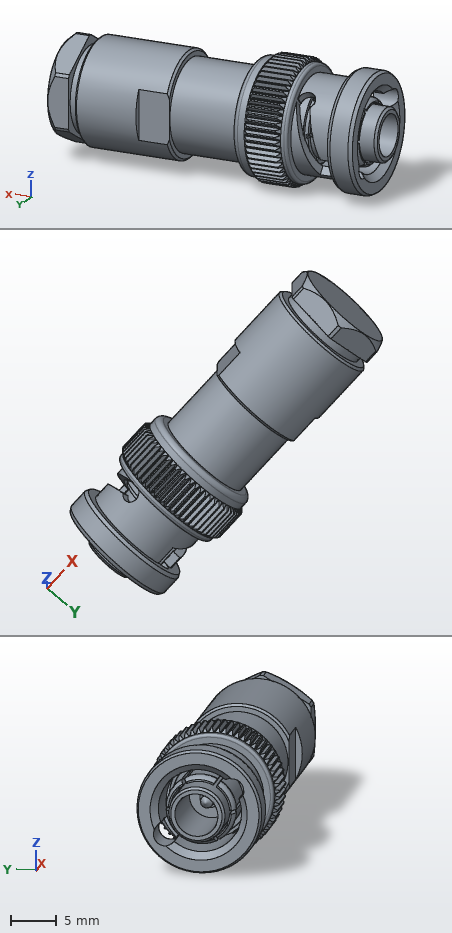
import cadquery as cq
import math

LENGTH = 38.7

FLANGE_START = 1.2
FLANGE_END = 4.22
FLANGE_RADIUS = 6.95
FLANGE_CHAMFER_LENGTH = 0.43
FLANGE_CHAMFER_DEPTH = 0.25
MOUTH_RADIUS = 5.42
BORE_RADIUS = 4.65
CAVITY_END = 8.15

SLEEVE_RADIUS = 5.7
SLEEVE_END = 9.15
ENTRY_ANGLE_LOW = 21.0
ENTRY_ANGLE_HIGH = 51.0
ENTRY_END = 5.8
LATCH_ANGLE = -46.0
LATCH_X = 8.05
LATCH_RADIUS = 1.0
RAMP_REAR_AT_ZERO_ANGLE = 7.97
RAMP_WIDTH = 1.63
RAMP_RISE_PER_DEGREE = 0.0275
RAMP_START = 4.25
PIN_CHANNEL_RADIUS = 1.28
PIN_CHANNEL_OFFSET = 4.65

RING_RADIUS = 6.77
RING_END = 15.75
RING_FRONT_ROUND = 0.35
RING_REAR_ROUND = 0.65
KNURL_START = 9.85
KNURL_END = 14.32
KNURL_RADIUS = 7.25
KNURL_ROOT_RADIUS = 6.65
KNURL_CHAMFER = 0.5
TOOTH_COUNT = 60
TOOTH_TIP_WIDTH = 0.15

BODY_RADIUS = 5.42
HOUSING_START = 23.92
HOUSING_END = 35.1
HOUSING_RADIUS = 6.27
HOUSING_CHAMFER = 0.27
FLAT_END = 27.65
FLAT_DISTANCE = 5.55
NECK_RADIUS = 5.1
NUT_START = 36.15
NUT_CHAMFER_LENGTH = 0.9
NUT_END_RADIUS = 5.5

TUBE_RADIUS = 3.15
TUBE_BORE_RADIUS = 2.4
TUBE_CHAMFER = 0.27
TUBE_FLOOR = 8.13
CONTACT_BASE_RADIUS = 1.1
CONTACT_BASE_LENGTH = 0.77
CONTACT_PIN_RADIUS = 0.7
CONTACT_PIN_LENGTH = 2.32
FINGER_START = 1.95
FINGER_RIM_RADIUS = 3.52
FINGER_NOSE_PEAK = 2.65
FINGER_NOSE_END = 3.4
FINGER_NOSE_RADIUS = 3.9
FINGER_RADIUS = 3.68
FINGER_BORE_RADIUS = 3.33
SHOULDER_START = 7.75
SHOULDER_RADIUS = 4.22
SLIT_COUNT = 6
SLIT_WIDTH = 0.4
SLIT_END = 8.0


def rod(start, end, radius):
    """Solid cylinder along X between two stations."""
    return cq.Workplane("YZ", origin=(start, 0, 0)).circle(radius).extrude(end - start)


def revolved(points):
    """Revolve an (x, radius) outline about the X axis."""
    return cq.Workplane("XY").polyline(points).close().revolve(360, (0, 0, 0), (1, 0, 0))


def radial_point(radius, angle):
    """(Y, Z) of a point at an angle measured from -Y towards +Z."""
    turn = math.radians(angle)
    return -radius * math.cos(turn), radius * math.sin(turn)


def sector(start, angle_low, angle_high):
    """Sector sketch from inside the sleeve bore to well outside the sleeve."""
    inner_reach = BORE_RADIUS / 2
    outer_reach = 2 * SLEEVE_RADIUS
    corners = [
        radial_point(inner_reach, angle_low),
        radial_point(outer_reach, angle_low),
        radial_point(outer_reach, angle_high),
        radial_point(inner_reach, angle_high),
    ]
    return cq.Workplane("YZ", origin=(start, 0, 0)).polyline(corners).close()


def bayonet_slot():
    """Straight entry, helical ramp with radial walls, and round latch hole."""
    entry = sector(0, ENTRY_ANGLE_LOW, ENTRY_ANGLE_HIGH).extrude(ENTRY_END)
    ramp_length = SLEEVE_END - RAMP_START
    first_angle = (RAMP_REAR_AT_ZERO_ANGLE - RAMP_WIDTH - RAMP_START) / RAMP_RISE_PER_DEGREE
    ramp_span = RAMP_WIDTH / RAMP_RISE_PER_DEGREE
    twist = ramp_length / RAMP_RISE_PER_DEGREE
    ramp = sector(RAMP_START, first_angle, first_angle + ramp_span).twistExtrude(ramp_length, twist)
    ramp = ramp.intersect(sector(0, LATCH_ANGLE, ENTRY_ANGLE_HIGH).extrude(LENGTH))
    latch = (
        cq.Workplane("XZ", origin=(LATCH_X, 0, 0))
        .circle(LATCH_RADIUS)
        .extrude(2 * SLEEVE_RADIUS)
        .rotate((0, 0, 0), (1, 0, 0), -LATCH_ANGLE)
    )
    return entry.union(ramp).union(latch)


def opposite(shape):
    """The same shape half a turn around the X axis."""
    return shape.rotate((0, 0, 0), (1, 0, 0), 180)


def slotted_sleeve():
    """Sleeve wall cut by two slots, closed inside by a plug behind the cavity."""
    bore = rod(FLANGE_END, SLEEVE_END, BORE_RADIUS)
    wall = rod(FLANGE_END, SLEEVE_END, SLEEVE_RADIUS).cut(bore)
    slot = bayonet_slot()
    plug = rod(CAVITY_END, SLEEVE_END, BORE_RADIUS)
    return wall.cut(slot).cut(opposite(slot)).union(plug)


def flange():
    """Chamfered front flange with a coned mouth and two pin channels."""
    edge_radius = FLANGE_RADIUS - FLANGE_CHAMFER_DEPTH
    mouth_end = FLANGE_START + MOUTH_RADIUS - BORE_RADIUS
    ring = revolved([
        (FLANGE_START, MOUTH_RADIUS),
        (FLANGE_START, edge_radius),
        (FLANGE_START + FLANGE_CHAMFER_LENGTH, FLANGE_RADIUS),
        (FLANGE_END - FLANGE_CHAMFER_LENGTH, FLANGE_RADIUS),
        (FLANGE_END, edge_radius),
        (FLANGE_END, BORE_RADIUS),
        (mouth_end, BORE_RADIUS),
    ])
    middle_angle = (ENTRY_ANGLE_LOW + ENTRY_ANGLE_HIGH) / 2
    channel = (
        cq.Workplane("YZ")
        .center(*radial_point(PIN_CHANNEL_OFFSET, middle_angle))
        .circle(PIN_CHANNEL_RADIUS)
        .extrude(FLANGE_END)
    )
    return ring.cut(channel).cut(opposite(channel))


def knurl():
    """Toothed band with bevelled ends."""
    pitch = 360 / TOOTH_COUNT
    half_tip = math.degrees(TOOTH_TIP_WIDTH / KNURL_RADIUS) / 2
    outline = []
    for tooth in range(TOOTH_COUNT):
        root_angle = tooth * pitch
        tip_angle = root_angle + pitch / 2
        outline.append(radial_point(KNURL_ROOT_RADIUS, root_angle))
        outline.append(radial_point(KNURL_RADIUS, tip_angle - half_tip))
        outline.append(radial_point(KNURL_RADIUS, tip_angle + half_tip))
    length = KNURL_END - KNURL_START
    teeth = cq.Workplane("YZ", origin=(KNURL_START, 0, 0)).polyline(outline).close().extrude(length)
    end_radius = KNURL_RADIUS - KNURL_CHAMFER
    bevel_peak = end_radius + length / 2
    bevels = revolved([
        (KNURL_START, 0),
        (KNURL_START, end_radius),
        (KNURL_START + length / 2, bevel_peak),
        (KNURL_END, end_radius),
        (KNURL_END, 0),
    ])
    return teeth.intersect(bevels)


def knurled_ring():
    """Round-edged ring carrying the knurl."""
    ring = rod(SLEEVE_END, RING_END, RING_RADIUS)
    ring = ring.faces("<X").edges().fillet(RING_FRONT_ROUND)
    ring = ring.faces(">X").edges().fillet(RING_REAR_ROUND)
    return ring.union(knurl())


def housing():
    """Rear barrel with two wrench flats facing -Y and +Y."""
    barrel = rod(HOUSING_START, HOUSING_END, HOUSING_RADIUS).edges().chamfer(HOUSING_CHAMFER)
    flat_zone = cq.Workplane("XY").box(
        FLAT_END - HOUSING_START, 2 * FLAT_DISTANCE, 2 * HOUSING_RADIUS
    ).translate(((FLAT_END + HOUSING_START) / 2, 0, 0))
    return barrel.intersect(flat_zone.union(rod(FLAT_END, HOUSING_END, HOUSING_RADIUS)))


def clamp_nut():
    """Hexagon with two flats facing -Y and +Y, trimmed round and coned at the end."""
    across_corners = 2 * FLAT_DISTANCE / math.cos(math.pi / 6)
    hexagon = (
        cq.Workplane("YZ", origin=(NUT_START, 0, 0))
        .transformed(rotate=(0, 0, 90))
        .polygon(6, across_corners)
        .extrude(LENGTH - NUT_START)
    )
    envelope = revolved([
        (NUT_START, 0),
        (NUT_START, HOUSING_RADIUS),
        (LENGTH - NUT_CHAMFER_LENGTH, HOUSING_RADIUS),
        (LENGTH, NUT_END_RADIUS),
        (LENGTH, 0),
    ])
    return hexagon.intersect(envelope)


def insulator_tube():
    """Protruding tube with a cone-tipped contact pin standing on its floor."""
    tube = rod(0, SLEEVE_END, TUBE_RADIUS).faces("<X").edges().chamfer(TUBE_CHAMFER)
    tube = tube.cut(rod(0, TUBE_FLOOR, TUBE_BORE_RADIUS))
    base_front = TUBE_FLOOR - CONTACT_BASE_LENGTH
    pin_front = base_front - CONTACT_PIN_LENGTH
    contact = revolved([
        (pin_front, 0),
        (pin_front + CONTACT_PIN_RADIUS, CONTACT_PIN_RADIUS),
        (base_front, CONTACT_PIN_RADIUS),
        (base_front, CONTACT_BASE_RADIUS),
        (TUBE_FLOOR, CONTACT_BASE_RADIUS),
        (TUBE_FLOOR, 0),
    ])
    return tube.union(contact)


def finger_ring():
    """Round-nosed ring of spring fingers backed by a shoulder."""
    ring = (
        cq.Workplane("XY")
        .moveTo(FINGER_START, 0)
        .lineTo(FINGER_START, FINGER_RIM_RADIUS)
        .threePointArc((FINGER_NOSE_PEAK, FINGER_NOSE_RADIUS), (FINGER_NOSE_END, FINGER_RADIUS))
        .lineTo(SHOULDER_START, FINGER_RADIUS)
        .lineTo(SHOULDER_START, SHOULDER_RADIUS)
        .lineTo(CAVITY_END, SHOULDER_RADIUS)
        .lineTo(CAVITY_END, 0)
        .close()
        .revolve(360, (0, 0, 0), (1, 0, 0))
    )
    ring = ring.cut(rod(0, SLIT_END, FINGER_BORE_RADIUS))
    for index in range(SLIT_COUNT):
        slit = cq.Workplane("XY").box(
            SLIT_END, SHOULDER_RADIUS * 2, SLIT_WIDTH, centered=(False, False, True)
        ).rotate((0, 0, 0), (1, 0, 0), index * 360 / SLIT_COUNT)
        ring = ring.cut(slit)
    return ring


result = (
    slotted_sleeve()
    .union(flange())
    .union(finger_ring())
    .union(insulator_tube())
    .union(knurled_ring())
    .union(rod(RING_END, HOUSING_START, BODY_RADIUS))
    .union(housing())
    .union(rod(HOUSING_END, NUT_START, NECK_RADIUS))
    .union(clamp_nut())
)